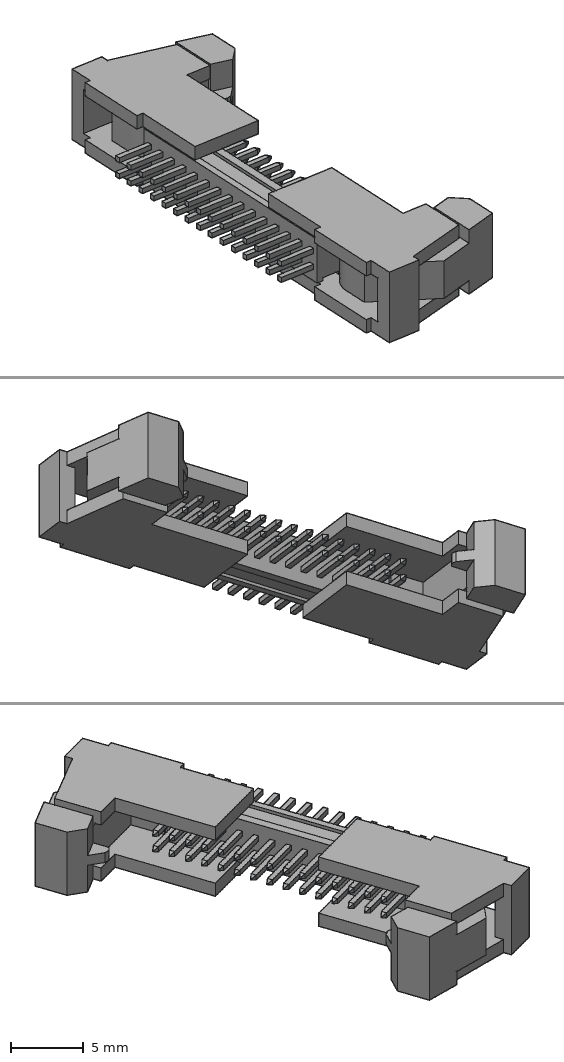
import cadquery as cq
import math


overall_length = 34.82
overall_thickness = 5.65
slot_height = 3.5

block_length = 19.0
block_depth = 2.52
groove_front = 0.52
groove_back = 1.89
groove_depth = 0.25

pin_columns = 15
pin_rows = 2
pin_pitch = 1.27
pin_size = 0.4
pin_tip_size = 0.12
pin_solder_end = -2.83
pin_taper_start = 5.25
pin_mating_end = 5.6

shell_half_length = overall_length / 2
shell_inner_x = 4.03
shell_inner_front = 0.1
slot_outer_x = 16.14
foot_inner_x = 9.75
foot_outer_x = 15.42
foot_front = -0.43
wall_back = 2.62
taper_base_x = 16.8
tab_outer_x = 15.47
tab_inner_x = 11.85
tab_back = 7.68
plate_back = 5.67

latch_half_thickness = 1.5
hook_half_thickness = 0.4
head_half_thickness = 2.58
latch_top = 10.72
head_top_outer_x = 15.37
head_top_inner_x = 12.88
head_bottom = 8.07
head_face_top_x = 11.83
head_face_bottom_x = 12.27
hook_flank_x = 10.95
hook_flank_y = 8.79
hook_tip_x = 10.85
hook_tip_y = 8.42
hook_bottom_x = 11.03
stem_inner_x = 12.48
knee_x = 16.86
knee_y = 5.26
heel_x = 13.83
heel_y = 0.67
toe_start_x = 11.84
toe_radius = 2.07
toe_sweep = 75
pivot_diameter = 1.27
pivot_x = 13.43
pivot_y = 4.26


def extrude_symmetric(sketch, half_thickness):
    """Extrude an XY outline equally above and below Z = 0."""
    return sketch.extrude(half_thickness, both=True)


def box_between(x_range, y_range, z_range):
    """Axis-aligned box from its limits along each axis."""
    size = [high - low for low, high in (x_range, y_range, z_range)]
    corner = (x_range[0], y_range[0], z_range[0])
    return cq.Workplane("XY").box(*size, centered=False).translate(corner)


def make_pin(x, z):
    """Square pin along Y with a pyramidal tip at its mating end."""
    shaft_length = pin_taper_start - pin_solder_end
    tip_length = pin_mating_end - pin_taper_start
    solder_plane = cq.Workplane("XZ", origin=(x, pin_solder_end, z))
    shaft = solder_plane.rect(pin_size, pin_size).extrude(-shaft_length)
    tip = (
        cq.Workplane("XZ", origin=(x, pin_taper_start, z))
        .rect(pin_size, pin_size)
        .workplane(offset=-tip_length)
        .rect(pin_tip_size, pin_tip_size)
        .loft(ruled=True)
    )
    return shaft.union(tip)


def make_header():
    """Insulator block grooved on both broad faces, with its rows of pins."""
    half_length = block_length / 2
    half_height = slot_height / 2
    header = box_between((-half_length, half_length), (0, block_depth), (-half_height, half_height))
    groove_floor = half_height - groove_depth
    for z_range in ((groove_floor, half_height), (-half_height, -groove_floor)):
        header = header.cut(box_between((-half_length, half_length), (groove_front, groove_back), z_range))
    for column in range(pin_columns):
        for row in range(pin_rows):
            x = (column - (pin_columns - 1) / 2) * pin_pitch
            z = (row - (pin_rows - 1) / 2) * pin_pitch
            header = header.union(make_pin(x, z))
    return header


def make_shell():
    """End shell on the +X side: two plates joined by the wall at the outer end."""
    outline = cq.Workplane("XY").polyline([
        (shell_inner_x, shell_inner_front),
        (foot_inner_x, shell_inner_front),
        (foot_inner_x, foot_front),
        (foot_outer_x, foot_front),
        (foot_outer_x, 0),
        (shell_half_length, 0),
        (shell_half_length, wall_back),
        (taper_base_x, wall_back),
        (tab_outer_x, tab_back),
        (tab_inner_x, tab_back),
        (tab_inner_x, plate_back),
        (shell_inner_x, plate_back),
    ]).close()
    body = extrude_symmetric(outline, overall_thickness / 2)
    slot = box_between(
        (shell_inner_x, slot_outer_x),
        (foot_front, wall_back),
        (-slot_height / 2, slot_height / 2),
    )
    rear_slot = box_between(
        (shell_inner_x, shell_half_length),
        (wall_back, tab_back),
        (-slot_height / 2, slot_height / 2),
    )
    return body.cut(slot).cut(rear_slot)


def make_latch():
    """Latch on the +X side: rocking arm with hook, thicker head and pivot studs."""
    def toe_point(angle):
        """Point on the toe arc, the given number of degrees past its start at the heel."""
        turn = math.radians(angle)
        x = toe_start_x - toe_radius * math.sin(turn)
        y = heel_y + toe_radius * (1 - math.cos(turn))
        return x, y

    toe_tip = toe_point(toe_sweep)
    outer_slope = (knee_x - head_top_outer_x) / (latch_top - knee_y)
    head_bottom_outer_x = head_top_outer_x + outer_slope * (latch_top - head_bottom)
    arm_outline = (
        cq.Workplane("XY")
        .moveTo(head_bottom_outer_x, head_bottom)
        .lineTo(knee_x, knee_y)
        .lineTo(heel_x, heel_y)
        .lineTo(toe_start_x, heel_y)
        .threePointArc(toe_point(toe_sweep / 2), toe_tip)
        .lineTo(stem_inner_x, toe_tip[1])
        .lineTo(stem_inner_x, head_bottom)
        .close()
    )
    arm = extrude_symmetric(arm_outline, latch_half_thickness)

    flank_slope = (latch_top - hook_flank_y) / (head_top_inner_x - hook_flank_x)
    head_face_top_y = latch_top - flank_slope * (head_top_inner_x - head_face_top_x)
    head_outline = cq.Workplane("XY").polyline([
        (head_top_outer_x, latch_top),
        (head_bottom_outer_x, head_bottom),
        (head_face_bottom_x, head_bottom),
        (head_face_top_x, head_face_top_y),
        (head_top_inner_x, latch_top),
    ]).close()
    head = extrude_symmetric(head_outline, head_half_thickness)

    hook_outline = cq.Workplane("XY").polyline([
        (head_face_top_x, head_face_top_y),
        (head_face_bottom_x, head_bottom),
        (hook_bottom_x, head_bottom),
        (hook_tip_x, hook_tip_y),
        (hook_flank_x, hook_flank_y),
    ]).close()
    hook = extrude_symmetric(hook_outline, hook_half_thickness)

    pivot_outline = cq.Workplane("XY").center(pivot_x, pivot_y).circle(pivot_diameter / 2)
    pivot = extrude_symmetric(pivot_outline, slot_height / 2)
    return arm.union(head).union(hook).union(pivot)


header = make_header()
right_shell = make_shell()
left_shell = right_shell.mirror("YZ")
right_latch = make_latch()
left_latch = right_latch.mirror("YZ")

result = cq.Compound.makeCompound([
    header.val(),
    right_shell.val(),
    left_shell.val(),
    right_latch.val(),
    left_latch.val(),
])